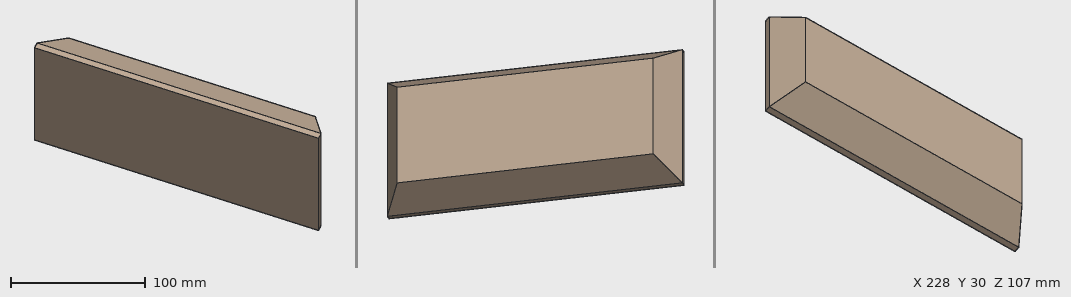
import cadquery as cq

length = 228.0
depth = 30.0
height = 107.0

band_depth = 5.0
back_inset = 15.0

taper_depth = depth - band_depth
back_length = length - 2 * back_inset
back_height = height - 2 * back_inset

front_plate = cq.Workplane("XZ").rect(length, height).extrude(-band_depth)

tapered_back = (
    cq.Workplane("XZ", origin=(0, band_depth, 0))
    .rect(length, height)
    .workplane(offset=-taper_depth)
    .rect(back_length, back_height)
    .loft(ruled=True)
)

result = front_plate.union(tapered_back)